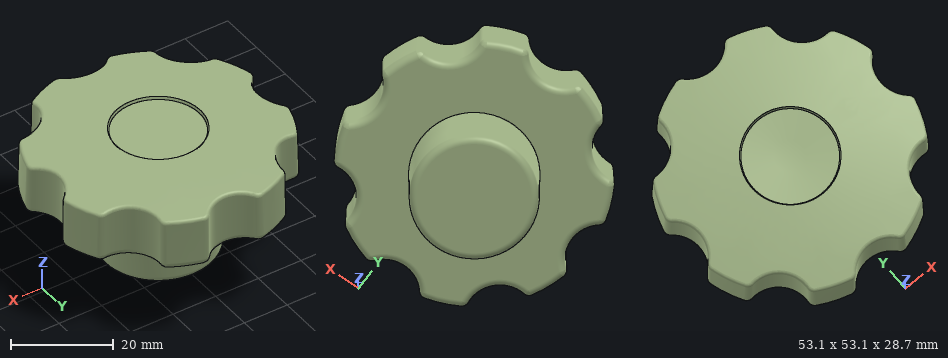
import cadquery as cq
import math

HEAD_BOTTOM = 15.05
RIM_TOP = 26.5
RECESS_EDGE_HEIGHT = 28.7

HEAD_RADIUS = 27.45
HEAD_DRAFT = 1.5
TOP_ROUND = 0.75
LOBE_ROUND = 1.5

SCALLOP_COUNT = 8
SCALLOP_RADIUS = 7.0
SCALLOP_DEPTH_RADIUS = 23.35

HUB_TOP_RADIUS = 12.8
HUB_DRAFT = 0.5
HUB_ROUND = 1.5

RECESS_RADIUS = 9.9
RECESS_FLOOR_RADIUS = 9.6
RECESS_DEPTH = 0.6
RECESS_FLOOR_DIP = 0.55


def taper(height, draft):
    """Change in radius over a height for a draft angle in degrees."""
    return height * math.tan(math.radians(draft))


def revolve_about_axis(half_section):
    """Turn a closed half section in the XZ plane about the knob axis."""
    return half_section.revolve(360, (0, 0), (0, 1))


def make_domed_disc():
    """Disc with a conical side and a spherical top through the recess edge and the rim."""
    rim_radius = HEAD_RADIUS - taper(RIM_TOP - HEAD_BOTTOM, HEAD_DRAFT)
    rise = RECESS_EDGE_HEIGHT - RIM_TOP
    sphere_center = (
        RECESS_EDGE_HEIGHT**2 - RIM_TOP**2 + RECESS_RADIUS**2 - rim_radius**2
    ) / (2 * rise)
    sphere_radius = math.hypot(rim_radius, RIM_TOP - sphere_center)
    mid_radius = rim_radius / 2
    mid_height = sphere_center + math.sqrt(sphere_radius**2 - mid_radius**2)
    return revolve_about_axis(
        cq.Workplane("XZ")
        .moveTo(0, HEAD_BOTTOM)
        .lineTo(HEAD_RADIUS, HEAD_BOTTOM)
        .lineTo(rim_radius, RIM_TOP)
        .threePointArc((mid_radius, mid_height), (0, sphere_center + sphere_radius))
        .close()
    )


def make_head():
    """Domed disc with scallops, rounded lobe corners and rounded top and bottom rims."""
    scallops = (
        cq.Workplane("XY")
        .polarArray(SCALLOP_DEPTH_RADIUS + SCALLOP_RADIUS, 0, 360, SCALLOP_COUNT)
        .circle(SCALLOP_RADIUS)
        .extrude(2 * RECESS_EDGE_HEIGHT)
    )
    head = make_domed_disc().cut(scallops)

    margin = (RIM_TOP - HEAD_BOTTOM) / 4
    side_band = cq.selectors.BoxSelector(
        (-HEAD_RADIUS, -HEAD_RADIUS, HEAD_BOTTOM + margin),
        (HEAD_RADIUS, HEAD_RADIUS, RIM_TOP - margin),
    )
    bottom_rim = head.faces("<Z").edges()
    head = head.edges(side_band).add(bottom_rim).fillet(LOBE_ROUND)
    return head.faces(">Z").edges().fillet(TOP_ROUND)


def make_hub():
    """Tapered hub with a rounded lower edge."""
    bottom_radius = HUB_TOP_RADIUS - taper(HEAD_BOTTOM, HUB_DRAFT)
    inside_head = HEAD_BOTTOM + LOBE_ROUND
    return revolve_about_axis(
        cq.Workplane("XZ")
        .polyline([(0, 0), (bottom_radius, 0), (HUB_TOP_RADIUS, HEAD_BOTTOM),
                   (HUB_TOP_RADIUS, inside_head), (0, inside_head)])
        .close()
    ).faces("<Z").edges().fillet(HUB_ROUND)


def make_recess():
    """Cutter for the top recess: slightly tapered wall and conical floor, deepest on the axis."""
    floor = RECESS_EDGE_HEIGHT - RECESS_DEPTH
    above = RECESS_EDGE_HEIGHT + RECESS_DEPTH
    return revolve_about_axis(
        cq.Workplane("XZ")
        .polyline([(0, floor - RECESS_FLOOR_DIP), (RECESS_FLOOR_RADIUS, floor),
                   (RECESS_RADIUS, RECESS_EDGE_HEIGHT), (RECESS_RADIUS, above), (0, above)])
        .close()
    )


result = make_head().union(make_hub()).cut(make_recess())